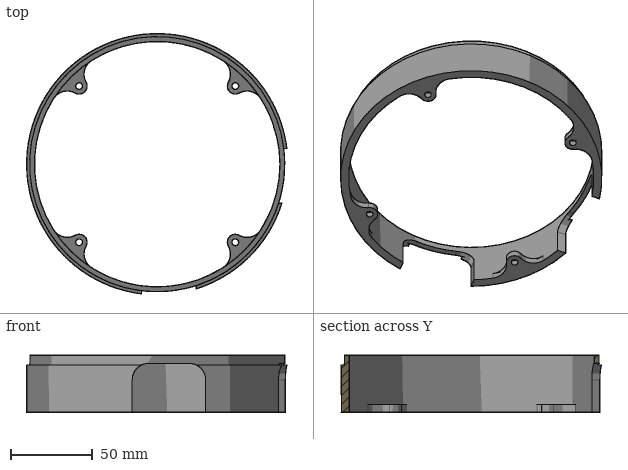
import cadquery as cq
import math

outer_radius = 80.0
lip_radius = 78.1
inner_radius = 75.0
total_height = 35.0
step_height = 29.0

notch_width = 45.0
notch_height = 30.0
notch_corner_radius = 10.0
notch_offset = 7.2

lug_height = 5.0
lug_hole_offset = 47.8
lug_tip_radius = 5.0
lug_hole_radius = 2.0
lug_blend_radius = 10.0


def polar(radius, angle):
    return radius * math.cos(angle), radius * math.sin(angle)


def make_ring():
    body = cq.Workplane("XY").circle(outer_radius).extrude(step_height)
    lip = cq.Workplane("XY").circle(lip_radius).extrude(total_height)
    bore = cq.Workplane("XY").circle(inner_radius).extrude(total_height)
    return body.union(lip).cut(bore)


def make_notch_cutter():
    """Block reaching from the ring axis out through the -Y side."""
    return (
        cq.Workplane("XY")
        .box(notch_width, 2 * outer_radius, notch_height, centered=(True, False, False))
        .translate((notch_offset, -2 * outer_radius, 0))
        .edges("|Y and >Z")
        .fillet(notch_corner_radius)
    )


def make_lug():
    """Lug on the +X axis; its blend arcs are tangent to the tip and the bore."""
    hole_distance = lug_hole_offset * math.sqrt(2)
    blend_distance = inner_radius - lug_blend_radius
    tip_to_blend = lug_tip_radius + lug_blend_radius

    blend_angle = math.acos(
        (hole_distance**2 + blend_distance**2 - tip_to_blend**2)
        / (2 * hole_distance * blend_distance)
    )
    blend_x, blend_y = polar(blend_distance, blend_angle)
    wall_x, wall_y = polar(inner_radius, blend_angle)

    tip_share = lug_tip_radius / tip_to_blend
    neck_x = hole_distance + tip_share * (blend_x - hole_distance)
    neck_y = tip_share * blend_y

    wall_direction = math.atan2(wall_y - blend_y, wall_x - blend_x)
    neck_direction = math.atan2(neck_y - blend_y, neck_x - blend_x)
    middle_dx, middle_dy = polar(lug_blend_radius, (wall_direction + neck_direction) / 2)
    middle_x = blend_x + middle_dx
    middle_y = blend_y + middle_dy

    back_x = (inner_radius + lip_radius) / 2
    hole = cq.Workplane("XY").center(hole_distance, 0).circle(lug_hole_radius).extrude(lug_height)
    return (
        cq.Workplane("XY")
        .moveTo(wall_x, wall_y)
        .threePointArc((middle_x, middle_y), (neck_x, neck_y))
        .threePointArc((hole_distance - lug_tip_radius, 0), (neck_x, -neck_y))
        .threePointArc((middle_x, -middle_y), (wall_x, -wall_y))
        .threePointArc((back_x, 0), (wall_x, wall_y))
        .close()
        .extrude(lug_height)
        .cut(hole)
    )


front_notch = make_notch_cutter()
side_notch = front_notch.mirror("XZ").rotate((0, 0, 0), (0, 0, 1), -90)

result = make_ring().cut(front_notch).cut(side_notch)
lug = make_lug()
for lug_angle in (45, 135, 225, 315):
    result = result.union(lug.rotate((0, 0, 0), (0, 0, 1), lug_angle))